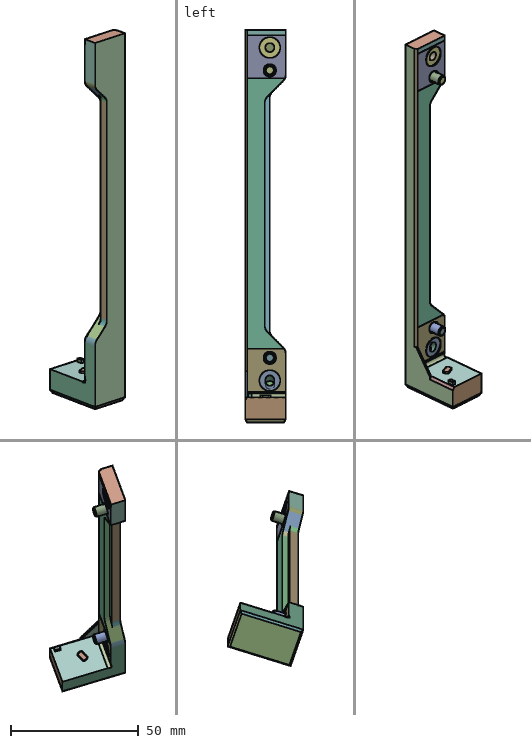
import cadquery as cq

length = 26.0
width = 16.0
height = 154.0
front_y = -width / 2
back_y = width / 2

pad_thickness = 6.0
pad_rise = 0.08
pad_face_x = length - pad_thickness
wall_x = pad_face_x + pad_rise
foot_height = 10.0
back_chamfer_width = 0.8
back_chamfer_depth = 1.2
base_inset = 0.8
base_chamfer_height = 1.4

waist_bottom = 28.3
waist_top = 135.0
waist_depth = 6.3
waist_face_depth = 8.3
waist_face_thickness = 2.3
bend_diameter = 7.0

gusset_length = 7.4
gusset_height = 10.2
gusset_thickness = back_chamfer_width

relief_diameter = 2.0
relief_axis_offset = 0.7

pad_length = 16.8
pad_bottoms = (12.2, 135.0)

pin_diameter = 4.0
pin_protrusion = 5.0
pin_insertion = 4.6
pin_chamfer = 0.5
pin_y = -1.7
pin_heights = (25.4, 138.1)
mouth_diameter = 5.0

recess_diameter = 8.2
recess_depth = 0.5
recess_pin_spacing = 9.0
recess_floor_x = pad_face_x + recess_depth
lower_recess_z = pin_heights[0] - recess_pin_spacing
upper_recess_z = pin_heights[1] + recess_pin_spacing
small_hole_diameter = 3.5
small_hole_depth = 3.4
lower_hole_tilt = 30.0
upper_hole_tilt = 0.0

diamond_diameter = 4.2
diamond_width = 2.3
diamond_height = 0.8
diamond_x = 11.0
diamond_angle = 23.0

stop_x = 1.4
stop_back_gap = 1.2
stop_length = 2.3
stop_width = 1.4
stop_height = 1.4


def box(x0, x1, y0, y1, z0, z1):
    """Box between two opposite corners."""
    return cq.Workplane("XY", origin=(x0, y0, z0)).box(x1 - x0, y1 - y0, z1 - z0, centered=False)


def cylinder_along_x(diameter, x0, x1, z):
    """Cylinder parallel to X from x0 to x1, on the Y line of the pins."""
    return cq.Workplane("YZ", origin=(x0, pin_y, z)).circle(diameter / 2).extrude(x1 - x0)


def make_foot():
    """Foot block with a tapered base and a chamfered top back edge."""
    base = (
        cq.Workplane("XY", origin=(length / 2, 0, 0))
        .rect(length - 2 * base_inset, width - 2 * base_inset)
        .workplane(offset=base_chamfer_height)
        .rect(length, width)
        .loft(ruled=True)
    )
    block = box(0, length, front_y, back_y, base_chamfer_height, foot_height)
    corner = [
        (back_y, foot_height),
        (back_y - back_chamfer_width, foot_height),
        (back_y, foot_height - back_chamfer_depth),
    ]
    chamfer = cq.Workplane("YZ").polyline(corner).close().extrude(length)
    return base.union(block).cut(chamfer)


def wall_layer(x0, x1, depth):
    """Slice of the wall between x0 and x1 with a waist of the given depth and rounded bends."""
    outline = [
        (back_y, base_chamfer_height),
        (front_y, base_chamfer_height),
        (front_y, waist_bottom),
        (front_y + depth, waist_bottom + depth),
        (front_y + depth, waist_top - depth),
        (front_y, waist_top),
        (front_y, height),
        (back_y, height),
    ]
    layer = cq.Workplane("YZ", origin=(x0, 0, 0)).polyline(outline).close().extrude(x1 - x0)
    margin = bend_diameter / 2
    low_corner = (x0, front_y - margin, waist_bottom - margin)
    high_corner = (x1, front_y + depth + margin, waist_top + margin)
    bends = cq.selectors.BoxSelector(low_corner, high_corner)
    return layer.edges("|X").edges(bends).fillet(bend_diameter / 2)


def make_wall():
    """Upright wall: the face layer has the deeper waist and a chamfered back edge."""
    step_x = wall_x + waist_face_thickness
    face_layer = wall_layer(wall_x, step_x, waist_face_depth)
    corner = [
        (wall_x, back_y),
        (wall_x, back_y - back_chamfer_width),
        (wall_x + back_chamfer_depth, back_y),
    ]
    chamfer = cq.Workplane("XY").polyline(corner).close().extrude(height)
    return face_layer.cut(chamfer).union(wall_layer(step_x, length, waist_depth))


def make_pad(bottom_z):
    """Thin raised pad that follows the wall outline over its own height."""
    sheet = wall_layer(pad_face_x, wall_x, waist_face_depth)
    window = box(pad_face_x, wall_x, front_y, back_y - back_chamfer_width, bottom_z, bottom_z + pad_length)
    return sheet.intersect(window)


def make_gusset():
    """Triangular web that also fills the chamfers of the foot and the wall beside it."""
    toe_x = wall_x - gusset_length
    root_x = wall_x + back_chamfer_depth
    top_z = foot_height + gusset_height
    root_z = foot_height - back_chamfer_depth
    outline = [(toe_x, foot_height), (wall_x, top_z), (root_x, top_z), (root_x, root_z), (toe_x, root_z)]
    return cq.Workplane("XZ", origin=(0, back_y, 0)).polyline(outline).close().extrude(gusset_thickness)


def make_relief():
    """Round groove cutter along the inside corner, ending at the gusset."""
    axis_x = wall_x - relief_axis_offset
    axis_z = foot_height + relief_axis_offset
    groove = cq.Workplane("XZ", origin=(axis_x, back_y - gusset_thickness, axis_z))
    return groove.circle(relief_diameter / 2).extrude(width - gusset_thickness)


def make_diamond():
    """Locating diamond standing on the foot."""
    stud = cq.Workplane("XY").circle(diamond_diameter / 2).extrude(diamond_height)
    flats = cq.Workplane("XY").rect(diamond_width, diamond_diameter).extrude(diamond_height)
    diamond = stud.intersect(flats).rotate((0, 0, 0), (0, 0, 1), diamond_angle)
    return diamond.translate((diamond_x, 0, foot_height))


def make_stop():
    """Small block standing on the foot near its chamfered back edge."""
    stop_back_y = back_y - stop_back_gap
    stop_top_z = foot_height + stop_height
    return box(stop_x, stop_x + stop_length, stop_back_y - stop_width, stop_back_y, foot_height, stop_top_z)


def pin_hole(z):
    """Blind pin hole with a 45 degree countersunk mouth."""
    mouth_depth = (mouth_diameter - pin_diameter) / 2
    mouth = (
        cq.Workplane("YZ", origin=(pad_face_x, pin_y, z))
        .circle(mouth_diameter / 2)
        .workplane(offset=mouth_depth)
        .circle(pin_diameter / 2)
        .loft()
    )
    return mouth.union(cylinder_along_x(pin_diameter, pad_face_x, wall_x + pin_insertion, z))


def recess_with_hole(z, tilt):
    """Shallow round recess and a flat-bottomed hole that slopes down into the wall by the tilt angle."""
    recess = cylinder_along_x(recess_diameter, pad_face_x, recess_floor_x, z)
    hole_start_x = recess_floor_x - small_hole_diameter / 2
    hole = cylinder_along_x(small_hole_diameter, hole_start_x, recess_floor_x + small_hole_depth, z)
    hole = hole.rotate((recess_floor_x, pin_y, z), (recess_floor_x, pin_y + 1.5, z), tilt)
    return recess.union(hole)


def make_bracket():
    """Complete bracket as one solid."""
    bracket = make_foot().union(make_wall())
    for bottom_z in pad_bottoms:
        bracket = bracket.union(make_pad(bottom_z))
    bracket = bracket.cut(make_relief()).union(make_gusset())
    bracket = bracket.union(make_diamond()).union(make_stop())
    for z in pin_heights:
        bracket = bracket.cut(pin_hole(z))
    for z, tilt in ((lower_recess_z, lower_hole_tilt), (upper_recess_z, upper_hole_tilt)):
        bracket = bracket.cut(recess_with_hole(z, tilt))
    return bracket


def make_pin(z):
    """Straight pin seated in the wall, with a chamfered free end."""
    pin = cylinder_along_x(pin_diameter, wall_x - pin_protrusion, wall_x + pin_insertion, z)
    return pin.faces("<X").chamfer(pin_chamfer)


bracket = make_bracket()
pins = [make_pin(z) for z in pin_heights]

result = cq.Compound.makeCompound([bracket.val(), *[pin.val() for pin in pins]])